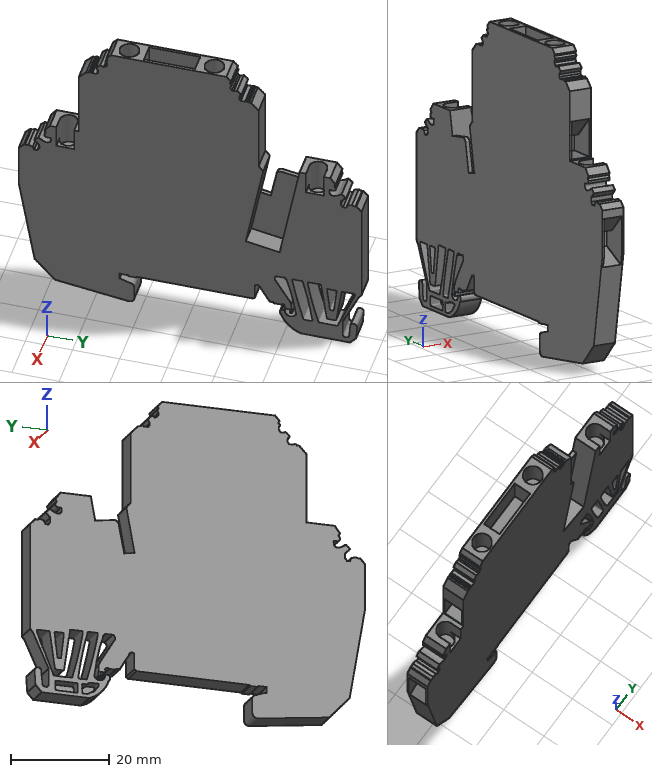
import cadquery as cq
import math

THICKNESS = 5.1
LENGTH = 72.5
HEIGHT = 65.9
STEP_Z = 43.65
BODY_BASE_Z = 7.0
BASE_RELIEF_Z = 6.8
BODY_CORNER_Z = 13.4
WINDOW_TOP_Z = 14.3

TOWER_LEFT = 21.75
TOWER_RIGHT = 59.8
TOWER_CENTER = (TOWER_LEFT + TOWER_RIGHT) / 2
BLOCK_CENTER = LENGTH / 2

SLOT_STEP_EDGE = (13.1, STEP_Z)
SLOT_LIP = (20.8, 42.1)
SLOT_LIP_FOOT = (TOWER_LEFT, 43.3)
SLOT_LEAN = math.radians(10.5)
SLOT_STEP_DROP = 22.7
SLOT_LIP_DROP = 19.9
SLOT_SKIN = 0.95
SKIN_GAP_DROP = 9.6
LEDGE_DROP = 5.15

TOWER_HOLE_D = 4.05
STEP_HOLE_D = 3.8
HOLE_X = 2.6
HOLE_DEPTH = 7.25
STEP_SLOT_DEPTH = 5.1
TOWER_HOLE_OFFSET = 9.0
STEP_HOLE_OFFSET = 26.4
TEST_OPENING_WIDTH = 3.85
TEST_OPENING_LENGTH = 10.8
TEST_OPENING_X = 2.55
TEST_OPENING_DEPTH = 7.25

ENTRY_WIDTH = 4.2
ENTRY_DEPTH = 5.8

FOOT_RECESS_DEPTH = THICKNESS / 2

SIDE = cq.Plane(origin=(0, LENGTH, 0), xDir=(0, -1, 0), normal=(-1, 0, 0))


def endpoint(step):
    return step[-2:]


def mirrored(path, center):
    """Mirror a path about a vertical line, keeping its direction."""
    return [
        tuple(2 * center - value if i % 2 == 0 else value for i, value in enumerate(step))
        for step in path
    ]


def reversed_path(path):
    """Walk a path backwards; each arc keeps its through point."""
    back = [endpoint(path[-1])]
    for step, previous in zip(path[:0:-1], path[-2::-1]):
        back.append(step[:-2] + endpoint(previous))
    return back


def prism(path, depth, x=0.0):
    """Close a path and extrude it in +X from the given X.

    A step of two numbers is a line end; four numbers are an arc (through point, end point).
    """
    sketch = cq.Workplane(SIDE).workplane(offset=-x).moveTo(*path[0])
    for step in path[1:]:
        if len(step) == 4:
            sketch = sketch.threePointArc(step[:2], step[2:])
        else:
            sketch = sketch.lineTo(*step)
    return sketch.close().extrude(-depth)


def rounded_prism(path, depth, corner):
    return prism(path, depth).edges("|X").fillet(corner)


def down_slot_wall(start, drop):
    """Point on a leaning slot wall, a given height below its start."""
    distance, z = start
    return (distance + drop * math.tan(SLOT_LEAN), z - drop)


TOWER_TEETH = [
    (28.6, HEIGHT), (27.55, 64.8), (27.85, 64.4), (27.4, 63.95), (27.8, 63.4), (27.8, 63.0),
    (27.4, 62.5), (27.05, 62.35), (26.3, 62.65), (25.4, 61.8), (25.9, 61.0), (25.8, 60.5),
    (25.5, 60.1), (24.65, 60.1), (24.35, 60.25), (24.1, 60.25), (23.8, 60.0), (23.35, 60.0),
    (TOWER_LEFT, 58.35),
]
STEP_TEETH = [
    (6.6, STEP_Z), (5.45, 42.1), (5.7, 41.6), (5.45, 41.1), (5.5, 40.7, 5.95, 40.4),
    (6.7, 40.4), (6.7, 39.4, 5.8, 39.0), (5.15, 39.2), (4.2, 39.9), (3.25, 39.0),
    (4.35, 37.9), (4.35, 37.0), (3.9, 36.4), (3.25, 36.4), (3.0, 37.1), (2.3, 37.35),
    (2.0, 37.4), (1.7, 37.3), (1.3, 37.2), (1.1, 37.3), (0, 36.1),
]

SLOT_OUTLINE = [
    SLOT_LIP_FOOT, SLOT_LIP, down_slot_wall(SLOT_LIP, SKIN_GAP_DROP),
    (20.4, 32.1), (19.2, 38.05), (18.8, 38.9, 17.8, 39.1),
    down_slot_wall(SLOT_STEP_EDGE, LEDGE_DROP), SLOT_STEP_EDGE,
]

SPRING_FOOT = [
    (0, BODY_CORNER_Z), (0.6, 12.7), (4.0, 5.3), (4.0, 1.8), (3.25, 1.2, 2.6, 1.8),
    (2.4, 4.6), (1.6, 5.3, 0.95, 4.6), (1.1, 2.2), (1.15, 1.45), (2.5, 0), (12.75, 0),
    (15.65, 1.9, 17.05, 4.2), (17.25, 5.1, 16.8, 5.5), (16.25, 5.45), (16.2, 4.9),
    (14.85, 4.1, 13.85, 5.0), (14.65, 9.4, 15.8, 13.7), (16.25, WINDOW_TOP_Z),
    (17.8, WINDOW_TOP_Z), (18.3, 13.9, 18.1, 13.0), (15.15, 8.1), (14.85, 7.4),
    (14.7, 5.0), (15.15, 5.0), (15.15, 5.95), (16.25, 5.95), (16.25, 6.7), (16.6, BODY_BASE_Z),
    (17.1, BASE_RELIEF_Z), (18.5, BASE_RELIEF_Z), (18.7, BODY_BASE_Z), (19.4, BODY_BASE_Z),
    (21.6, 10.7), (22.1, 10.95, 22.55, 10.45), (22.55, 7.4), (23.0, BODY_BASE_Z),
]

FIXED_FOOT = [
    (47.4, BODY_BASE_Z), (47.6, BASE_RELIEF_Z), (49.2, BASE_RELIEF_Z), (49.45, BODY_BASE_Z),
    (51.2, BODY_BASE_Z), (51.2, 5.8), (49.0, 5.1), (48.3, 4.7, 48.1, 4.05), (48.1, 1.1),
    (48.4, 0.3, 49.2, 0), (64.8, 2.1), (69.2, 6.8), (LENGTH, 26.4),
]

BODY_OUTLINE = (
    TOWER_TEETH
    + SLOT_OUTLINE
    + STEP_TEETH
    + SPRING_FOOT
    + FIXED_FOOT
    + reversed_path(mirrored(STEP_TEETH, BLOCK_CENTER))
    + [(TOWER_RIGHT, STEP_Z)]
    + reversed_path(mirrored(TOWER_TEETH, TOWER_CENTER))
)

SLOT_CAVITY = [
    SLOT_STEP_EDGE, SLOT_LIP,
    down_slot_wall(SLOT_LIP, SLOT_LIP_DROP), down_slot_wall(SLOT_STEP_EDGE, SLOT_STEP_DROP),
]

SPRING_WINDOWS = [
    ([(1.2, BODY_CORNER_Z), (4.2, BODY_CORNER_Z), (5.4, 5.3), (7.3, 5.3),
      (8.6, WINDOW_TOP_Z), (11.45, WINDOW_TOP_Z), (10.5, 9.4, 9.05, 3.9), (5.1, 3.9)], 0.35),
    ([(5.2, BODY_CORNER_Z), (7.3, BODY_CORNER_Z), (6.7, 7.8), (5.9, 7.8)], 0.3),
    ([(12.5, WINDOW_TOP_Z), (14.7, WINDOW_TOP_Z), (13.7, 9.4, 12.25, 3.9), (10.4, 3.9),
      (11.2, 8.7, 12.5, WINDOW_TOP_Z)], 0.3),
]
FOOT_RECESSES = [
    ([(5.45, 0.8), (10.3, 0.8), (10.3, 2.9), (5.45, 2.9)], 0.35),
    ([(11.25, 0.8), (12.4, 0.8), (14.0, 1.75), (15.15, 3.3), (12.8, 3.3), (12.3, 2.9),
      (11.25, 2.9)], 0.3),
]


def vertical_hole(center, diameter, top):
    return (
        cq.Workplane("XY", origin=(HOLE_X, LENGTH - center, top))
        .circle(diameter / 2)
        .extrude(-HOLE_DEPTH)
    )


def step_hole(center):
    """Screw hole in a step, with a shallower slot of the same width out to the +X side."""
    slot = (
        cq.Workplane("XY")
        .box(THICKNESS - HOLE_X, STEP_HOLE_D, STEP_SLOT_DEPTH, centered=(False, True, False))
        .translate((HOLE_X, LENGTH - center, STEP_Z - STEP_SLOT_DEPTH))
    )
    return vertical_hole(center, STEP_HOLE_D, STEP_Z).union(slot)


def test_opening():
    return (
        cq.Workplane("XY", origin=(TEST_OPENING_X, LENGTH - TOWER_CENTER, HEIGHT))
        .rect(TEST_OPENING_WIDTH, TEST_OPENING_LENGTH)
        .extrude(-TEST_OPENING_DEPTH)
    )


def wire_entry(wall, ceiling_mouth, ceiling_back, floor_mouth, floor_back):
    """Funnel into a -Y wall: a ceiling falling at 45 degrees, then a flat throat."""
    back = wall - ENTRY_DEPTH
    outline = [
        (wall, ceiling_mouth),
        (wall - (ceiling_mouth - ceiling_back), ceiling_back),
        (back, ceiling_back),
        (back, floor_back),
        (wall, floor_mouth),
    ]
    return prism(outline, ENTRY_WIDTH, x=(THICKNESS - ENTRY_WIDTH) / 2)


result = prism(BODY_OUTLINE, THICKNESS)
result = result.cut(prism(SLOT_CAVITY, THICKNESS - SLOT_SKIN, x=SLOT_SKIN))

for window, corner in SPRING_WINDOWS:
    result = result.cut(rounded_prism(window, THICKNESS, corner))
for recess, corner in FOOT_RECESSES:
    result = result.cut(rounded_prism(recess, FOOT_RECESS_DEPTH, corner))

for side in (-1, 1):
    tower_hole_center = TOWER_CENTER + side * TOWER_HOLE_OFFSET
    result = result.cut(vertical_hole(tower_hole_center, TOWER_HOLE_D, HEIGHT))
    result = result.cut(step_hole(BLOCK_CENTER + side * STEP_HOLE_OFFSET))
result = result.cut(test_opening())

upper_entry = wire_entry(
    TOWER_RIGHT, ceiling_mouth=51.9, ceiling_back=47.6, floor_mouth=43.9, floor_back=43.9
)
lower_entry = wire_entry(
    LENGTH, ceiling_mouth=34.3, ceiling_back=30.45, floor_mouth=23.8, floor_back=26.7
)
result = result.cut(upper_entry).cut(lower_entry)